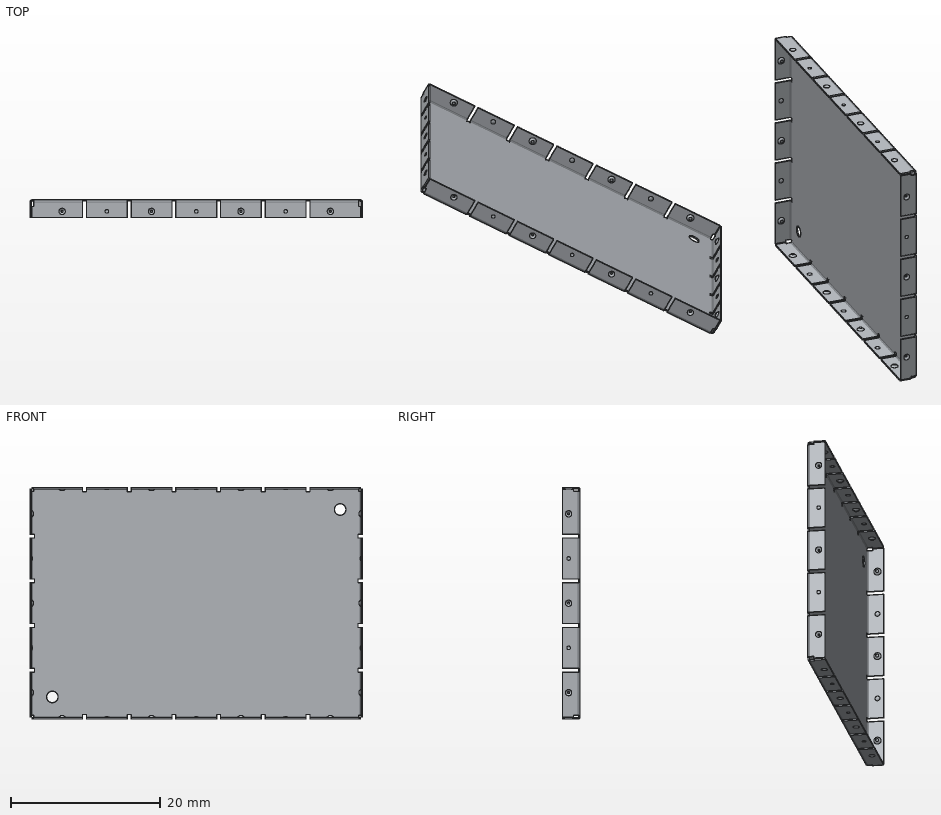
import cadquery as cq

LENGTH = 44.6
DEPTH = 2.4
HEIGHT = 31.1
SHEET = 0.2
BEND_OUTER = 0.3
BEND_INNER = BEND_OUTER - SHEET

LONG_TABS = 7
SHORT_TABS = 5
END_DIMPLE_SPAN = 36.0
TAB_PITCH = END_DIMPLE_SPAN / (LONG_TABS - 1)
SLOT_WIDTH = 0.5
SLOT_REACH = 0.6

RELIEF_REACH = 0.5
RELIEF_DEPTH = 0.9
TAB_END_GAP = 0.245

DIMPLE_INSET = 0.85
LARGE_RECESS_RADIUS = 0.425
LARGE_BUMP_RADIUS = 0.5
LARGE_RISE = 0.245
SMALL_RECESS_RADIUS = 0.245
SMALL_BUMP_RADIUS = 0.335
SMALL_RISE = 0.11
CONE_RUN = 0.29

HOLE_DIAMETER = 1.5
HOLE_X = 19.3
HOLE_Z = 12.58

BACK = DEPTH / 2
FRONT = -DEPTH / 2


def block(x, z, y_from, y_to, width, height):
    """Box centred on (x, z) that spans y_from to y_to."""
    return cq.Workplane("XY").box(width, y_to - y_from, height).translate((x, (y_from + y_to) / 2, z))


def tray():
    """Folded sheet with rounded bends between the plate and the rim."""
    outer = block(0, 0, FRONT, BACK, LENGTH, HEIGHT).edges(">Y").fillet(BEND_OUTER)
    inner = block(0, 0, FRONT - SHEET, BACK - SHEET, LENGTH - 2 * SHEET, HEIGHT - 2 * SHEET)
    return outer.cut(inner.edges(">Y").fillet(BEND_INNER))


def centred_positions(count):
    """Evenly pitched positions, symmetric about zero."""
    return [(i - (count - 1) / 2) * TAB_PITCH for i in range(count)]


def cut_slots(body):
    """Slots that separate the tabs and run through the bend into the plate."""
    for x in centred_positions(LONG_TABS - 1):
        for side in (-1, 1):
            body = body.cut(block(x, side * HEIGHT / 2, FRONT, BACK, SLOT_WIDTH, 2 * SLOT_REACH))
    for z in centred_positions(SHORT_TABS - 1):
        for side in (-1, 1):
            body = body.cut(block(side * LENGTH / 2, z, FRONT, BACK, 2 * SLOT_REACH, SLOT_WIDTH))
    return body


def cut_corners(body):
    """Square bend reliefs at the back and a small open notch along each corner."""
    for x in (-LENGTH / 2, LENGTH / 2):
        for z in (-HEIGHT / 2, HEIGHT / 2):
            body = body.cut(block(x, z, BACK - RELIEF_DEPTH, BACK, 2 * RELIEF_REACH, 2 * RELIEF_REACH))
            body = body.cut(block(x, z, FRONT, BACK, 2 * TAB_END_GAP, 2 * TAB_END_GAP))
    return body


def cone(base_radius, tip_radius, rise):
    """Flat-tipped cone standing on the XY plane and rising toward +Z."""
    profile = cq.Workplane("XZ").polyline([(0, 0), (base_radius, 0), (tip_radius, rise), (0, rise)]).close()
    return profile.revolve(360, (0, 0, 0), (0, 1, 0))


def cap(radius, rise):
    """Spherical cap standing on the XY plane and rising toward +Z."""
    sphere_radius = (radius**2 + rise**2) / (2 * rise)
    profile = cq.Workplane("XZ").lineTo(radius, 0).radiusArc((0, rise), -sphere_radius).close()
    return profile.revolve(360, (0, 0, 0), (0, 1, 0))


def large_dimple():
    """Conical recess and bump of a large dimple, pressed toward +Z into a wall whose outer face is Z = 0."""
    recess = cone(LARGE_RECESS_RADIUS, LARGE_RECESS_RADIUS - CONE_RUN, LARGE_RISE)
    bump = cone(LARGE_BUMP_RADIUS, LARGE_BUMP_RADIUS - CONE_RUN, LARGE_RISE)
    return recess, bump.translate((0, 0, SHEET))


def small_dimple():
    """Rounded recess and bump of a small dimple, placed like the large one."""
    recess = cap(SMALL_RECESS_RADIUS, SMALL_RISE)
    bump = cap(SMALL_BUMP_RADIUS, SMALL_RISE)
    return recess, bump.translate((0, 0, SHEET))


def press_dimple(body, dimple, along, turn, reach):
    """Press a dimple into the wall at distance reach from the centre, on the side given by turn about Y."""
    place = (along, FRONT + DIMPLE_INSET, -reach)
    recess, bump = [shape.translate(place).rotate((0, 0, 0), (0, 1, 0), turn) for shape in dimple]
    return body.union(bump).cut(recess)


def press_dimples(body):
    """Large and small dimples alternate; the end tabs carry large ones."""
    dimples = (large_dimple(), small_dimple())
    for count, turns, reach in ((LONG_TABS, (0, 180), HEIGHT / 2), (SHORT_TABS, (90, 270), LENGTH / 2)):
        for turn in turns:
            for i, along in enumerate(centred_positions(count)):
                body = press_dimple(body, dimples[i % 2], along, turn, reach)
    return body


def cut_holes(body):
    """Through holes at diagonally opposite corners of the plate."""
    for side in (-1, 1):
        drill = cq.Workplane("XZ").center(side * HOLE_X, side * HOLE_Z).circle(HOLE_DIAMETER / 2)
        body = body.cut(drill.extrude(DEPTH, both=True))
    return body


result = cut_holes(press_dimples(cut_corners(cut_slots(tray()))))